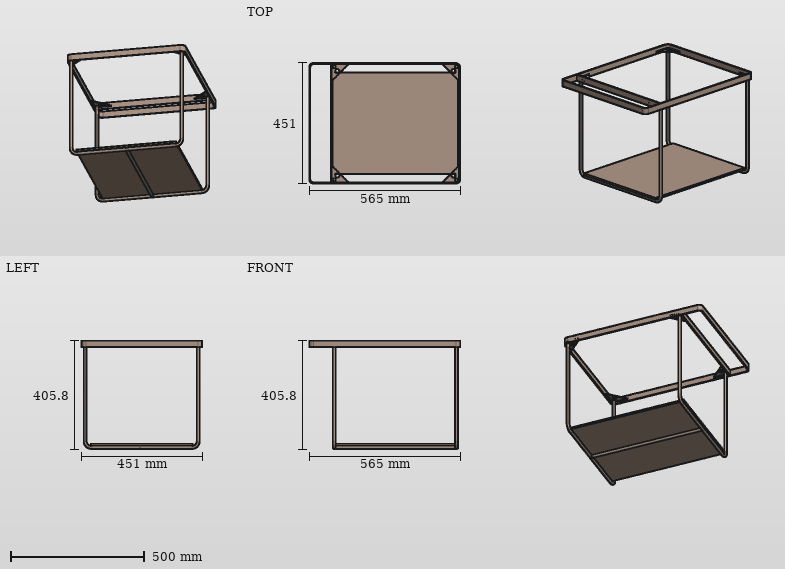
import cadquery as cq
import math

frame_length = 565.0
frame_width = 451.0
overall_height = 405.75

rim_height = 25.0
bar_thickness = 5.0
corner_radius = 16.0
large_corner_radius = 18.0
rim_bottom = overall_height - rim_height

divider_offset = 80.0
divider_left = -frame_length / 2 + divider_offset

bay_left = divider_left + bar_thickness
bay_right = frame_length / 2 - bar_thickness
bay_length = bay_right - bay_left
bay_width = frame_width - 2 * bar_thickness
bay_center = (bay_left + bay_right) / 2

gusset_side = 62.0
gusset_thickness = 3.0
gusset_height_in_rim = 8.0
gusset_bottom = rim_bottom + gusset_height_in_rim
gusset_hole_diameter = 16.0
gusset_hole_inset_x = 20.0
gusset_hole_inset_y = 26.0

rod_diameter = 12.0
rod_radius = rod_diameter / 2
rod_clearance = 3.0
bend_radius = 24.0
leg_inset = rod_clearance + rod_radius
leg_x = bay_length / 2 - leg_inset
leg_y = bay_width / 2 - leg_inset

shelf_length = bay_length - 2 * rod_clearance
shelf_width = 380.0
shelf_thickness = 8.0


def rounded_block(length, width, radius, large_radius):
    """Block as tall as the rim, with large_radius on its (+X, +Y) corner and radius on the rest."""
    block = (
        cq.Workplane("XY", origin=(0, 0, rim_bottom))
        .rect(length, width)
        .extrude(rim_height)
    )
    return (
        block
        .edges("|Z")
        .edges(">(1, 1, 0)")
        .fillet(large_radius)
        .edges("|Z and (<X or <Y)")
        .fillet(radius)
    )


def make_rim_envelope():
    """Filled outline of the rim."""
    return rounded_block(frame_length, frame_width, corner_radius, large_corner_radius)


def make_rim():
    """Rectangular hoop of flat bar with rounded corners and an even wall."""
    opening = rounded_block(
        frame_length - 2 * bar_thickness,
        bay_width,
        corner_radius - bar_thickness,
        large_corner_radius - bar_thickness,
    )
    return make_rim_envelope().cut(opening)


def make_divider():
    """Flat bar running across the rim from wall to wall."""
    return cq.Workplane("XY").box(
        bar_thickness, bay_width, rim_height, centered=(False, True, False)
    ).translate((divider_left, 0, rim_bottom))


def make_gusset(side_x, side_y):
    """Drilled corner plate; side_x and side_y (+1 or -1) choose the corner of the main bay."""
    corner_x = bay_center + side_x * bay_length / 2
    corner_y = side_y * bay_width / 2
    plane = cq.Workplane("XY", origin=(corner_x, corner_y, gusset_bottom))
    plate = (
        plane
        .polyline([(0, 0), (-side_x * gusset_side, 0), (0, -side_y * gusset_side)])
        .close()
        .extrude(gusset_thickness)
    )
    hole = (
        plane
        .center(-side_x * gusset_hole_inset_x, -side_y * gusset_hole_inset_y)
        .circle(gusset_hole_diameter / 2)
        .extrude(gusset_thickness)
    )
    return plate.cut(hole).intersect(make_rim_envelope())


def make_leg_loop(x):
    """U-shaped rod in a plane of constant X: two uprights joined by a floor run."""
    bend_offset = bend_radius * (1 - math.cos(math.radians(45)))
    floor_z = rod_radius
    path = (
        cq.Workplane("YZ", origin=(x, 0, 0))
        .moveTo(-leg_y, gusset_bottom)
        .lineTo(-leg_y, floor_z + bend_radius)
        .threePointArc(
            (-leg_y + bend_offset, floor_z + bend_offset),
            (-leg_y + bend_radius, floor_z),
        )
        .lineTo(leg_y - bend_radius, floor_z)
        .threePointArc(
            (leg_y - bend_offset, floor_z + bend_offset),
            (leg_y, floor_z + bend_radius),
        )
        .lineTo(leg_y, gusset_bottom)
    )
    return cq.Workplane("XY", origin=(x, -leg_y, gusset_bottom)).circle(rod_radius).sweep(path)


def make_crossbar():
    """Round rod joining the floor runs of the two leg loops at mid-width."""
    return (
        cq.Workplane("YZ", origin=(bay_center - leg_x, 0, rod_radius))
        .circle(rod_radius)
        .extrude(2 * leg_x)
    )


def make_frame():
    """Welded frame: rim, divider, corner plates, leg loops and crossbar."""
    body = make_rim().union(make_divider())
    for side_x in (-1, 1):
        for side_y in (-1, 1):
            body = body.union(make_gusset(side_x, side_y))
    for side_x in (-1, 1):
        body = body.union(make_leg_loop(bay_center + side_x * leg_x))
    return body.union(make_crossbar())


def make_shelf():
    """Flat board lying on top of the floor runs and the crossbar."""
    return cq.Workplane("XY").box(
        shelf_length, shelf_width, shelf_thickness, centered=(True, True, False)
    ).translate((bay_center, 0, rod_diameter))


frame = make_frame()
shelf = make_shelf()

result = cq.Compound.makeCompound([frame.solids().val(), shelf.val()])